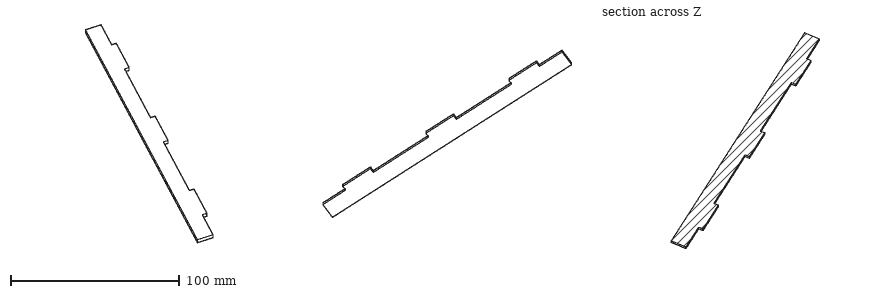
import cadquery as cq

length = 173.0
overall_width = 13.0
thickness = 3.0

tab_count = 3
tab_length = 20.0
tab_depth = 3.0
end_margin = 16.5
tab_pitch = (length - 2 * end_margin - tab_length) / (tab_count - 1)

strip_width = overall_width - tab_depth


def make_tab(start_x):
    """Full-width block whose far end projects beyond the strip as a tab."""
    block = cq.Workplane("XY").box(tab_length, overall_width, thickness, centered=False)
    return block.translate((start_x, 0, 0))


result = cq.Workplane("XY").box(length, strip_width, thickness, centered=False)
for index in range(tab_count):
    result = result.union(make_tab(end_margin + index * tab_pitch))

result = result.clean()